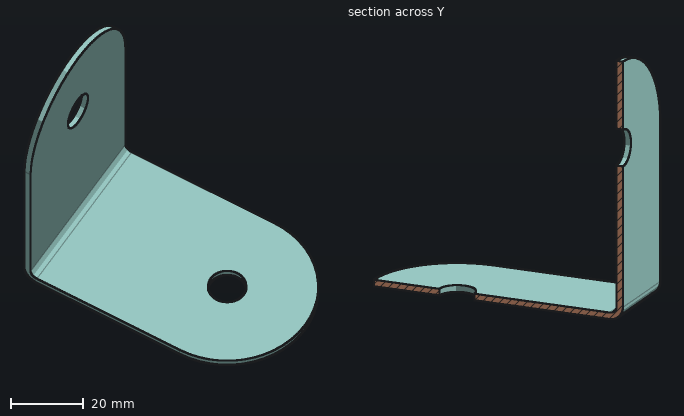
import cadquery as cq

leg_length = 75.0
width = 50.0
thickness = 2.0
inner_bend_radius = 2.0
hole_diameter = 10.5

outer_bend_radius = inner_bend_radius + thickness
end_radius = width / 2
end_center = leg_length - end_radius


def bent_strip():
    """L-shaped strip with a rounded bend, centred on Y = 0."""
    strip = (
        cq.Workplane("XZ")
        .moveTo(outer_bend_radius, 0)
        .lineTo(leg_length, 0)
        .lineTo(leg_length, thickness)
        .lineTo(outer_bend_radius, thickness)
        .radiusArc((thickness, outer_bend_radius), inner_bend_radius)
        .lineTo(thickness, leg_length)
        .lineTo(0, leg_length)
        .lineTo(0, outer_bend_radius)
        .radiusArc((outer_bend_radius, 0), -outer_bend_radius)
        .close()
    )
    return strip.extrude(width / 2, both=True)


def leg_outline(plane):
    """Region covering one leg seen face-on: straight sides and a semicircular end.

    The plane's local X runs along the leg. The region extends through the
    full height of the other leg.
    """
    return (
        cq.Workplane(plane)
        .moveTo(0, -end_radius)
        .lineTo(end_center, -end_radius)
        .threePointArc((leg_length, 0), (end_center, end_radius))
        .lineTo(0, end_radius)
        .close()
        .extrude(leg_length)
    )


def leg_hole(plane):
    """Cutter for the hole concentric with the rounded end of one leg."""
    return cq.Workplane(plane).center(end_center, 0).circle(hole_diameter / 2).extrude(thickness)


horizontal_leg = cq.Plane(origin=(0, 0, 0), xDir=(1, 0, 0), normal=(0, 0, 1))
vertical_leg = cq.Plane(origin=(0, 0, 0), xDir=(0, 0, 1), normal=(1, 0, 0))

result = bent_strip()
for leg in (horizontal_leg, vertical_leg):
    result = result.intersect(leg_outline(leg)).cut(leg_hole(leg))